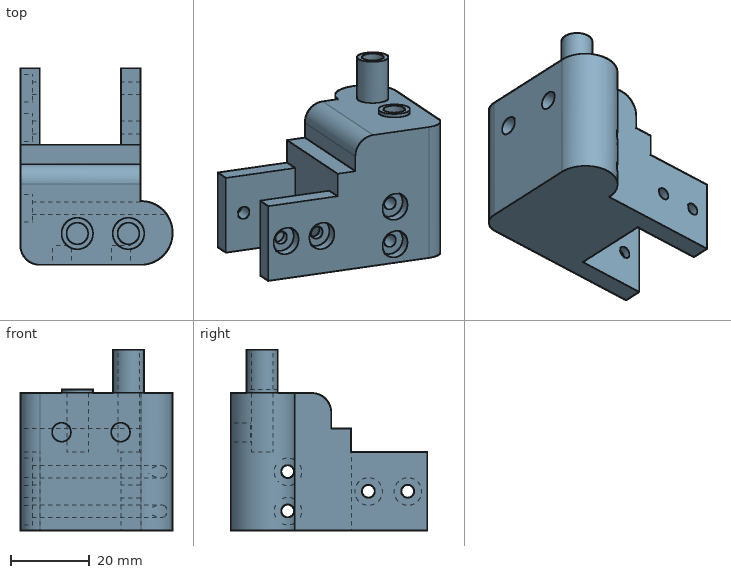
import cadquery as cq

block_width = 30.6
block_height = 35
block_depth = 25.6
corner_radius = 5
total_depth = 50

lobe_radius = 8.15

step_depth = 30.6
step_height = 26
arm_height = 20
arm_thickness = 5

tube_y = 8
tube_outer_diameter = 8
tube_bore_diameter = 5.5
tubes = [(14.5, 35.9), (27.5, 46)]
bore_floor = 20

front_hole_diameter = 4.8
front_hole_depth = 5
front_hole_z = 25
front_hole_xs = [10.5, 25.5]

screw_diameter = 3.2
head_diameter = 7
head_depth = 3
screw_positions = [(45, 10), (35, 10), (14.5, 15), (14.5, 5)]


def make_body():
    """Stepped side profile with a rounded lobe and two rear arms."""
    body = (
        cq.Workplane("YZ")
        .polyline([
            (0, 0),
            (total_depth, 0),
            (total_depth, arm_height),
            (step_depth, arm_height),
            (step_depth, step_height),
            (block_depth, step_height),
            (block_depth, block_height),
            (0, block_height),
        ])
        .close()
        .extrude(block_width)
    )
    front_left_edge = cq.selectors.NearestToPointSelector((0, 0, block_height / 2))
    body = body.edges(front_left_edge).fillet(corner_radius)
    top_rear_edge = cq.selectors.NearestToPointSelector((block_width / 2, block_depth, block_height))
    body = body.edges(top_rear_edge).fillet(corner_radius)

    arm_gap = cq.Workplane("XY").box(
        block_width - 2 * arm_thickness, total_depth - step_depth, arm_height, centered=False
    )
    body = body.cut(arm_gap.translate((arm_thickness, step_depth, 0)))

    lobe = cq.Workplane("XY").center(block_width, lobe_radius).circle(lobe_radius).extrude(block_height)
    return body.union(lobe)


def add_tubes(body):
    """Stand the tubes on the block, then bore each one down into it."""
    for x, tube_top in tubes:
        base = cq.Workplane("XY", origin=(x, tube_y, bore_floor))
        tube_length = tube_top - bore_floor
        body = body.union(base.circle(tube_outer_diameter / 2).extrude(tube_length))
        body = body.cut(base.circle(tube_bore_diameter / 2).extrude(tube_length))
    return body


def cut_front_holes(body):
    """Cut the blind holes into the front face."""
    for x in front_hole_xs:
        face_point = cq.Workplane("XZ", origin=(x, 0, front_hole_z))
        body = body.cut(face_point.circle(front_hole_diameter / 2).extrude(-front_hole_depth))
    return body


def cut_screw_holes(body):
    """Cut through holes along X, counterbored from the left face."""
    for y, z in screw_positions:
        face_point = cq.Workplane("YZ", origin=(0, y, z))
        body = body.cut(face_point.circle(screw_diameter / 2).extrude(block_width + lobe_radius))
        body = body.cut(face_point.circle(head_diameter / 2).extrude(head_depth))
    return body


result = cut_screw_holes(cut_front_holes(add_tubes(make_body())))